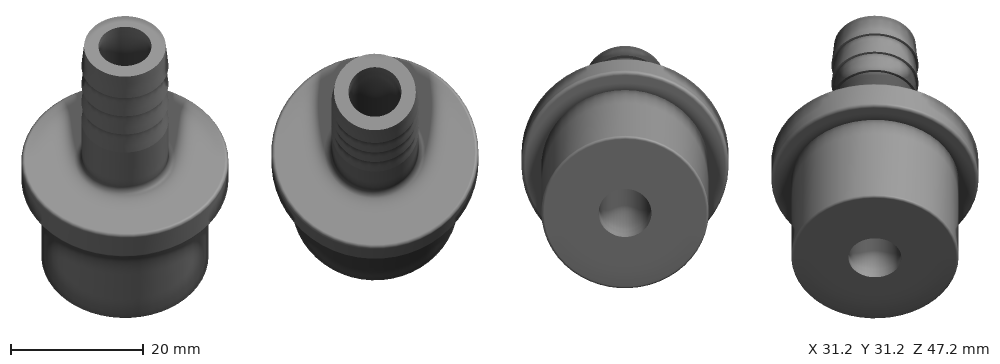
import cadquery as cq

total_height = 47.2
plug_diameter = 25.2
plug_height = 17.0
plug_edge_radius = 0.4

flange_diameter = 31.2
flange_thickness = 5.0
flange_edge_radius = 0.5

stem_diameter = 13.1
stem_top = 30.65
barb_tip_diameter = 12.3
barb_pitch = 4.05
barb_count = 4
root_fillet = 1.0
bore_diameter = 8.0

flange_top = plug_height + flange_thickness
stem_radius = stem_diameter / 2
barb_tip_radius = barb_tip_diameter / 2


def cylinder(diameter, bottom, height):
    """Upright cylinder on the Z axis."""
    return cq.Workplane("XY").workplane(offset=bottom).circle(diameter / 2).extrude(height)


def barbed_stem():
    """Revolved stem: a plain neck below a stack of tapered barbs."""
    profile = (
        cq.Workplane("XZ")
        .moveTo(0, plug_height)
        .lineTo(stem_radius + root_fillet, plug_height)
        .lineTo(stem_radius + root_fillet, flange_top)
        .radiusArc((stem_radius, flange_top + root_fillet), root_fillet)
        .lineTo(stem_radius, stem_top)
    )
    for barb in range(1, barb_count):
        barb_base = stem_top + barb * barb_pitch
        profile = profile.lineTo(barb_tip_radius, barb_base).lineTo(stem_radius, barb_base)
    profile = profile.lineTo(barb_tip_radius, total_height).lineTo(0, total_height).close()
    return profile.revolve(360, (0, 0, 0), (0, 1, 0))


plug = cylinder(plug_diameter, 0, plug_height).faces("<Z").edges().fillet(plug_edge_radius)
flange = cylinder(flange_diameter, plug_height, flange_thickness).edges("%CIRCLE").fillet(flange_edge_radius)
bore = cylinder(bore_diameter, 0, total_height)

result = plug.union(flange).union(barbed_stem()).cut(bore)